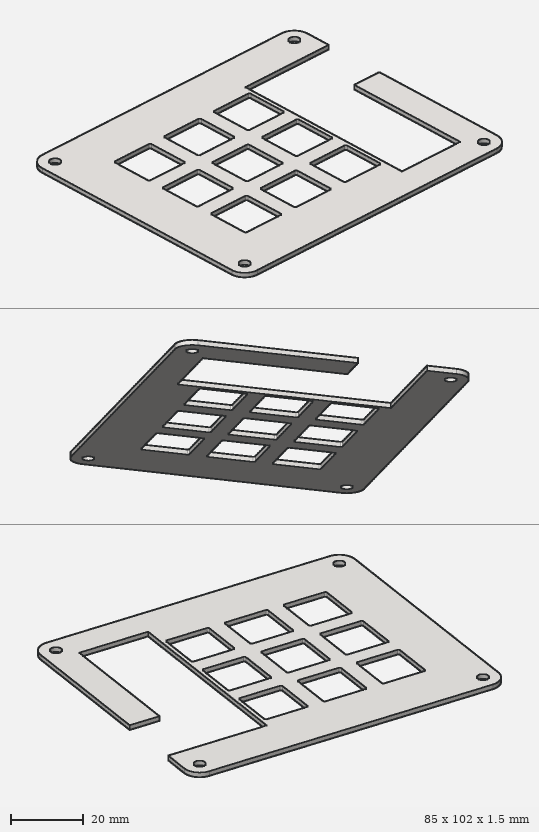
import cadquery as cq

WIDTH = 85.0
LENGTH = 102.0
THICKNESS = 1.5
CORNER_RADIUS = 5.0

HOLE_DIAMETER = 3.4

KEY_ROWS = 3
KEY_COLUMNS = 3
KEY_SIZE = 14.0
KEY_PITCH = 19.1
KEY_CORNER_RADIUS = 0.5
KEY_GRID_Y = -8.5

WINDOW_LEFT_MARGIN = 13.5
WINDOW_RIGHT_MARGIN = 9.6
WINDOW_BACK_MARGIN = 9.7
WINDOW_DEPTH = 22.3
SLOT_WIDTH = 20.0


def make_plate():
    plate = cq.Workplane("XY").box(WIDTH, LENGTH, THICKNESS, centered=(True, True, False))
    return plate.edges("|Z").fillet(CORNER_RADIUS)


def make_mounting_holes():
    spacing_x = WIDTH - 2 * CORNER_RADIUS
    spacing_y = LENGTH - 2 * CORNER_RADIUS
    holes = cq.Workplane("XY").rarray(spacing_x, spacing_y, 2, 2)
    return holes.circle(HOLE_DIAMETER / 2).extrude(THICKNESS)


def make_key_openings():
    openings = (
        cq.Workplane("XY")
        .center(0, KEY_GRID_Y)
        .rarray(KEY_PITCH, KEY_PITCH, KEY_COLUMNS, KEY_ROWS)
        .rect(KEY_SIZE, KEY_SIZE)
        .extrude(THICKNESS)
    )
    return openings.edges("|Z").fillet(KEY_CORNER_RADIUS)


def make_window():
    left = -WIDTH / 2 + WINDOW_LEFT_MARGIN
    right = WIDTH / 2 - WINDOW_RIGHT_MARGIN
    slot_right = left + SLOT_WIDTH
    back_edge = LENGTH / 2
    window_back = back_edge - WINDOW_BACK_MARGIN
    window_front = window_back - WINDOW_DEPTH
    outline = [
        (left, window_front),
        (right, window_front),
        (right, window_back),
        (slot_right, window_back),
        (slot_right, back_edge),
        (left, back_edge),
    ]
    return cq.Workplane("XY").polyline(outline).close().extrude(THICKNESS)


result = (
    make_plate()
    .cut(make_mounting_holes())
    .cut(make_key_openings())
    .cut(make_window())
)